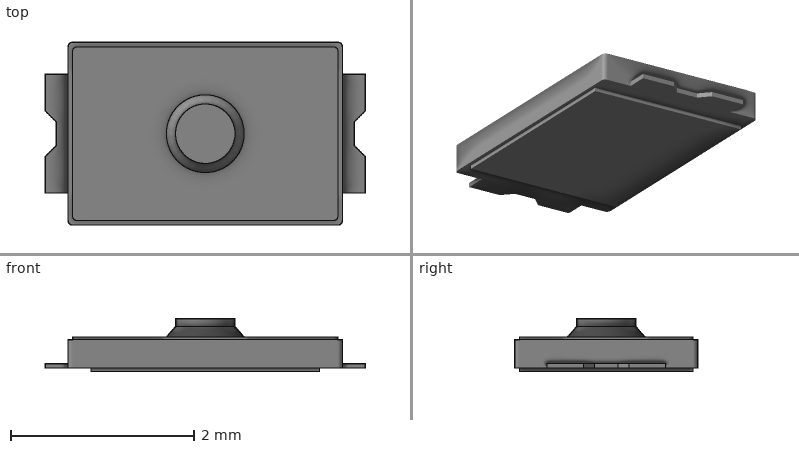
import cadquery as cq

total_height = 0.58
body_bottom = 0.04
body_top = 0.35
cover_top = 0.38
cone_top = 0.495

body_length = 3.0
body_width = 2.0
body_corner_radius = 0.05
cover_inset = 0.05
cover_length = body_length - 2 * cover_inset
cover_width = body_width - 2 * cover_inset
cover_corner_radius = 0.05

base_length = 2.5
base_width = cover_width

button_base_diameter = 0.85
button_top_diameter = 0.65

terminal_span = 3.5
terminal_width = 1.3
terminal_thickness = 0.05
notch_depth = 0.12
notch_mouth_width = 0.5
notch_floor_width = notch_mouth_width - 2 * notch_depth


def plate(length, width, bottom, top):
    """Rectangular plate centred on the Z axis between two levels."""
    return cq.Workplane("XY").workplane(offset=bottom).rect(length, width).extrude(top - bottom)


def make_housing():
    """Base plate, rounded body and rounded cover stacked on one another."""
    base = plate(base_length, base_width, 0, body_bottom)
    body = plate(body_length, body_width, body_bottom, body_top)
    body = body.edges("|Z").fillet(body_corner_radius)
    cover = plate(cover_length, cover_width, body_top, cover_top)
    cover = cover.edges("|Z").fillet(cover_corner_radius)
    return base.union(body).union(cover)


def make_button():
    """Conical skirt rising from the cover to a short cylindrical tip."""
    base_radius = button_base_diameter / 2
    top_radius = button_top_diameter / 2
    profile = cq.Workplane("XZ").polyline([
        (0, cover_top),
        (base_radius, cover_top),
        (top_radius, cone_top),
        (top_radius, total_height),
        (0, total_height),
    ]).close()
    return profile.revolve(360, (0, 0), (0, 1))


def make_terminals():
    """Flat strip through the body with a tapered notch in each outer end."""
    strip = plate(terminal_span, terminal_width, body_bottom, body_bottom + terminal_thickness)
    for side in (-1, 1):
        end_x = side * terminal_span / 2
        floor_x = side * (terminal_span / 2 - notch_depth)
        notch = cq.Workplane("XY").workplane(offset=body_bottom).polyline([
            (end_x, -notch_mouth_width / 2),
            (floor_x, -notch_floor_width / 2),
            (floor_x, notch_floor_width / 2),
            (end_x, notch_mouth_width / 2),
        ]).close().extrude(terminal_thickness)
        strip = strip.cut(notch)
    return strip


result = make_housing().union(make_button()).union(make_terminals())